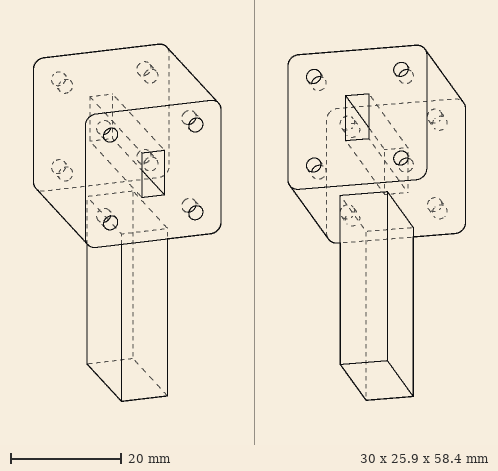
import cadquery as cq

head_length = 30.0
head_side = 25.91
corner_radius = 2.0
flange_thickness = 4.0

channel_width = 4.318
channel_height = 8.636

hole_diameter = 2.7
hole_spacing_y = 16.26
hole_spacing_z = 17.04

total_height = 58.42
stem_length = 20.0
stem_width = 8.8
stem_height = total_height - head_side


def make_head():
    """Block centred on the origin, rounded along its four X edges."""
    block = cq.Workplane("XY").box(head_length, head_side, head_side)
    return block.edges("|X").fillet(corner_radius)


def make_stem():
    """Rectangular bar hanging from the middle of the head's underside."""
    return (
        cq.Workplane("XY", origin=(0, 0, -head_side / 2))
        .rect(stem_length, stem_width)
        .extrude(-stem_height)
    )


def make_channel():
    """Rectangular passage along X through the whole head."""
    return cq.Workplane("XY").box(head_length, channel_width, channel_height)


def make_flange_holes(start_x):
    """Four holes running in +X through the flange that begins at start_x."""
    return (
        cq.Workplane("YZ", origin=(start_x, 0, 0))
        .rect(hole_spacing_y, hole_spacing_z, forConstruction=True)
        .vertices()
        .circle(hole_diameter / 2)
        .extrude(flange_thickness)
    )


result = make_head().union(make_stem()).cut(make_channel())
for flange_start in (-head_length / 2, head_length / 2 - flange_thickness):
    result = result.cut(make_flange_holes(flange_start))